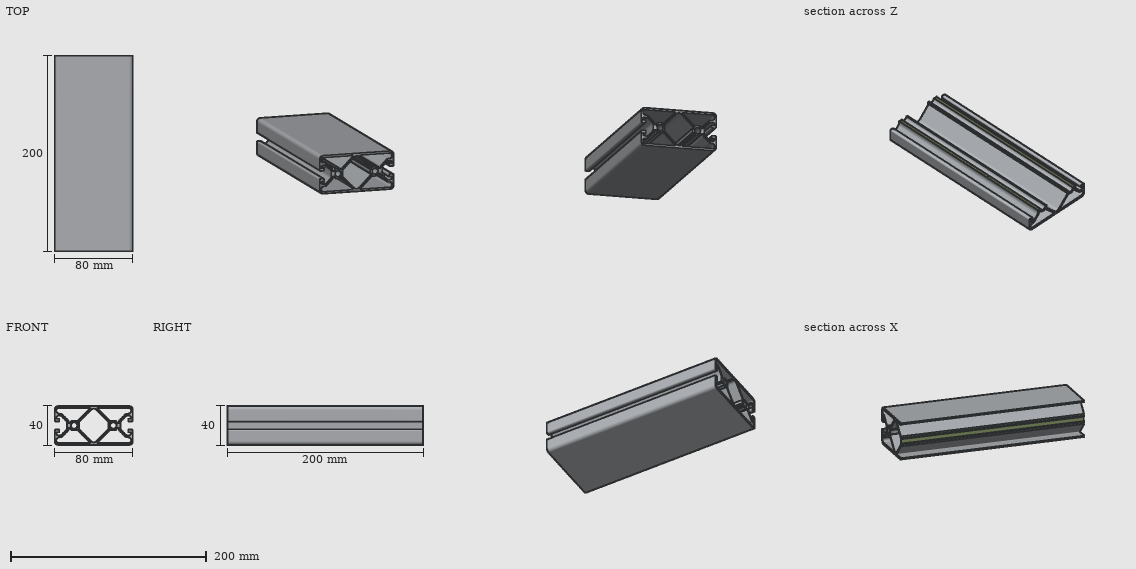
import cadquery as cq
import math

WIDTH = 80.0
LENGTH = 200.0
HEIGHT = 40.0
CORNER_RADIUS = 4.0

HALF_WIDTH = WIDTH / 2
HALF_HEIGHT = HEIGHT / 2

SIDE_WALL = 1.8
FLANGE_WALL = 2.2
RIB_THICKNESS = 1.7
RIB_FILLET = 0.5
RIB_JOINT_RADIUS = 4.0
SIDE_INNER_X = SIDE_WALL - HALF_WIDTH
FLANGE_INNER_Z = HALF_HEIGHT - FLANGE_WALL

HUB_X = -20.0
HUB_SIDES = 8
HUB_ACROSS_FLATS = 10.2
HOLE_RADIUS = 3.2
WEB_HALF_THICKNESS = 2.8

MOUTH_HALF_HEIGHT = 4.0
MOUTH_RADIUS = 1.5
LIP_THICKNESS = 3.0
LIP_TIP_X = -35.2
LIP_TIP_RADIUS = 1.2
CHAMBER_HALF_HEIGHT = 10.0
CHAMBER_END_RADIUS = 2.5
SLOT_FLOOR_X = -27.5
SLOT_FLOOR_RADIUS = 4.5
SLOT_SLOPE_SUM = -23.5
SLOT_ARM_THICKNESS = 1.7

POCKET_BOTTOM_Z = 12.2
POCKET_TOP_RADIUS = 2.2
POCKET_BOTTOM_RADIUS = 3.0
POCKET_BEND_RADIUS = 3.2

OVERSHOOT = 2.0


def rounded_prism(corners):
    """Full-length prism from (x, z, radius) corners; radius 0 leaves a corner sharp."""
    path = None
    for i, (x, z, radius) in enumerate(corners):
        corner = cq.Vector(x, z)
        before = cq.Vector(*corners[i - 1][:2]) - corner
        after = cq.Vector(*corners[(i + 1) % len(corners)][:2]) - corner
        half_angle = before.getAngle(after) / 2
        setback = radius / math.tan(half_angle)
        bisector = (before.normalized() + after.normalized()).normalized()
        start = corner + before.normalized() * setback
        middle = corner + bisector * (radius / math.sin(half_angle) - radius)
        end = corner + after.normalized() * setback
        if path is None:
            path = cq.Workplane("XZ").moveTo(start.x, start.y)
        else:
            path = path.lineTo(start.x, start.y)
        if radius > 0:
            path = path.threePointArc((middle.x, middle.y), (end.x, end.y))
    return path.close().extrude(LENGTH / 2, both=True)


def t_slot():
    """Cutter for the T-slot in the -X side."""
    lip_top_z = MOUTH_HALF_HEIGHT + LIP_THICKNESS
    upper = [
        (-HALF_WIDTH - OVERSHOOT, lip_top_z, 0),
        (-HALF_WIDTH, lip_top_z, 0),
        (-HALF_WIDTH, MOUTH_HALF_HEIGHT, MOUTH_RADIUS),
        (LIP_TIP_X, MOUTH_HALF_HEIGHT, LIP_TIP_RADIUS),
        (LIP_TIP_X, lip_top_z, 0),
        (SIDE_INNER_X, lip_top_z, 0),
        (SIDE_INNER_X, CHAMBER_HALF_HEIGHT, CHAMBER_END_RADIUS),
        (SLOT_SLOPE_SUM - CHAMBER_HALF_HEIGHT, CHAMBER_HALF_HEIGHT, 0),
        (SLOT_FLOOR_X, SLOT_SLOPE_SUM - SLOT_FLOOR_X, SLOT_FLOOR_RADIUS),
    ]
    lower = [(x, -z, radius) for x, z, radius in reversed(upper)]
    return rounded_prism(upper + lower)


def flange_pocket():
    """Cutter for the upper pocket between the -X slot, its hub and its rib."""
    arm_sum = SLOT_SLOPE_SUM + SLOT_ARM_THICKNESS * math.sqrt(2)
    arm_back_x = SLOT_FLOOR_X + SLOT_ARM_THICKNESS
    rib_offset = HUB_X - RIB_THICKNESS / math.sqrt(2)
    return rounded_prism([
        (SIDE_INNER_X, FLANGE_INNER_Z, POCKET_TOP_RADIUS),
        (rib_offset + FLANGE_INNER_Z, FLANGE_INNER_Z, RIB_FILLET),
        (rib_offset + WEB_HALF_THICKNESS, WEB_HALF_THICKNESS, 0),
        (arm_back_x, WEB_HALF_THICKNESS, 0),
        (arm_back_x, arm_sum - arm_back_x, SLOT_FLOOR_RADIUS - SLOT_ARM_THICKNESS),
        (arm_sum - POCKET_BOTTOM_Z, POCKET_BOTTOM_Z, POCKET_BEND_RADIUS),
        (SIDE_INNER_X, POCKET_BOTTOM_Z, POCKET_BOTTOM_RADIUS),
    ])


def center_pocket():
    """Cutter for the diamond between the ribs, rounded at the flange middles."""
    tip = HUB_X + RIB_THICKNESS / math.sqrt(2)
    return rounded_prism([
        (tip, 0, 0),
        (0, -tip, RIB_JOINT_RADIUS),
        (-tip, 0, 0),
        (0, tip, RIB_JOINT_RADIUS),
    ])


def hub(x):
    """Full-length octagonal bar with flats facing up, down and sideways."""
    corner_radius = HUB_ACROSS_FLATS / 2 / math.cos(math.pi / HUB_SIDES)
    corners = []
    for i in range(HUB_SIDES):
        angle = (2 * i + 1) * math.pi / HUB_SIDES
        corners.append((x + corner_radius * math.cos(angle), corner_radius * math.sin(angle), 0))
    return rounded_prism(corners)


def hub_hole(x):
    """Cutter for the round hole through a hub."""
    return cq.Workplane("XZ").center(x, 0).circle(HOLE_RADIUS).extrude(LENGTH / 2, both=True)


profile = cq.Workplane("XY").box(WIDTH, LENGTH, HEIGHT).edges("|Y").fillet(CORNER_RADIUS)

upper_pocket = flange_pocket()
side_pockets = upper_pocket.union(upper_pocket.mirror("XY"))
profile = profile.cut(center_pocket())
profile = profile.cut(side_pockets).cut(side_pockets.mirror("YZ"))

slot = t_slot()
profile = profile.cut(slot).cut(slot.mirror("YZ"))

for hub_x in (HUB_X, -HUB_X):
    profile = profile.union(hub(hub_x)).cut(hub_hole(hub_x))

result = profile